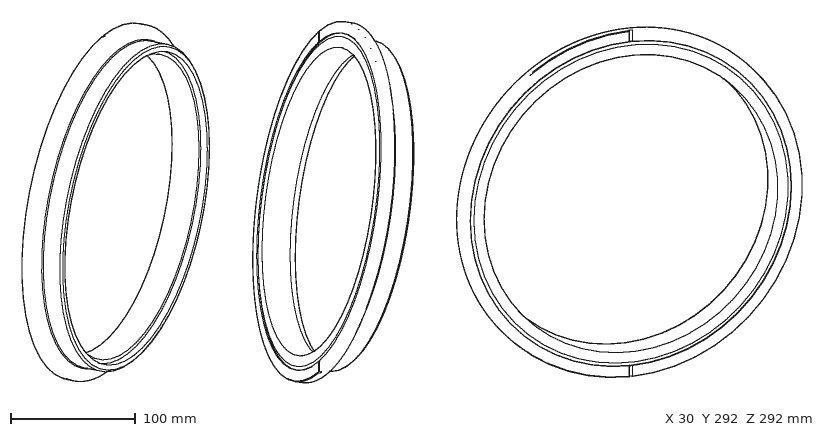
import cadquery as cq
import math

length = 30.0
flange_radius = 146.0
sleeve_radius = 268.0 / 2
bore_radius = 250.0 / 2
counterbore_radius = 256.5 / 2
counterbore_depth = 5.8

rim_width = 8.2
cone_angle = 21.0
rim_fillet = 1.8
root_fillet = 1.2
face_edge_fillet = 0.5
sleeve_end_chamfer = 1.8

recess_outer_radius = 136.7
recess_inner_radius = 133.7
recess_depth = 1.2

notch_width = 2.5
notch_depth = 2.0

cone_end = rim_width + (flange_radius - sleeve_radius) * math.tan(math.radians(cone_angle))


def revolve_about_x(points):
    """Revolve a closed (x, radius) outline about the X axis."""
    return cq.Workplane("XY").polyline(points).close().revolve(360, (0, 0, 0), (1, 0, 0))


def circle_edge(x, radius):
    """Select the circular edge of the given radius centred on the axis at x."""
    reach = radius + 0.3
    return cq.selectors.BoxSelector(
        (x - 0.3, -reach, -reach), (x + 0.3, reach, reach), boundingbox=True
    )


def ring_body():
    body = revolve_about_x([
        (0, bore_radius),
        (0, flange_radius),
        (rim_width, flange_radius),
        (cone_end, sleeve_radius),
        (length, sleeve_radius),
        (length, counterbore_radius),
        (length - counterbore_depth, counterbore_radius),
        (length - counterbore_depth, bore_radius),
    ])
    body = body.edges(circle_edge(rim_width, flange_radius)).fillet(rim_fillet)
    body = body.edges(circle_edge(cone_end, sleeve_radius)).fillet(root_fillet)
    body = body.faces("<X").edges(cq.selectors.RadiusNthSelector(-1)).fillet(face_edge_fillet)
    return body.faces(">X").edges(cq.selectors.RadiusNthSelector(-1)).chamfer(sleeve_end_chamfer)


def seal_recess():
    return revolve_about_x([
        (0, recess_inner_radius),
        (0, recess_outer_radius),
        (recess_depth, recess_outer_radius),
    ])


def radial_notches():
    """Round-bottomed notches at top and bottom, from the seal recess out through the rim."""
    notch_length = flange_radius - recess_outer_radius
    notches = cq.Workplane("XY")
    for start in (recess_outer_radius, -flange_radius):
        profile = cq.Workplane("XY").workplane(offset=start).slot2D(2 * notch_depth, notch_width)
        notches = notches.add(profile.extrude(notch_length))
    return notches.combine()


result = ring_body().cut(seal_recess()).cut(radial_notches())